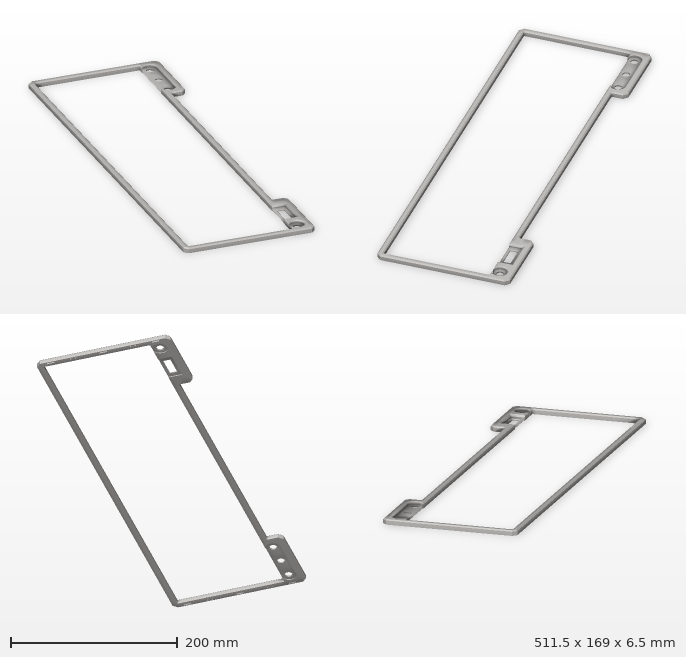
import cadquery as cq

LENGTH = 511.5
WIDTH = 169.0
THICKNESS = 6.5
WALL = 7.0
CORNER_CUT = 5.0
EDGE_BEVEL = 1.5
OPENING_CORNER_RADIUS = 0.75
NOTCH_CORNER_RADIUS = 2.0
REAR_BAR_TOP = 65.0
TAB_INNER_X = 163.0

POCKET_FLOOR_Z = 2.8
RELIEF_DEPTH = 1.0

HOLE_DIAMETER = 9.0
HOLE_Y = 67.0
HOLE_PITCH = 28.5
SEAT_DIAMETER = 21.0
SEAT_BEVEL = 1.25

SOCKET_X = 199.5
SOCKET_LENGTH = 43.0
SOCKET_BEVEL = 2.5
WINDOW_Y = 66.5
WINDOW_LENGTH = 25.5
WINDOW_WIDTH = 9.0
WINDOW_BEVEL = 1.0

RECESS_DEPTH = 2.5
RECESS_INSET = 2.3
SLOT_LENGTH = 9.0
SLOT_SPACING = 66.5
PIN_DIAMETER = 2.0
SLOT_WIDTH = PIN_DIAMETER
PIN_PAIR_Y = 38.0
PIN_PAIR_GAP = 6.0

HALF_LENGTH = LENGTH / 2
SEAT_RADIUS = SEAT_DIAMETER / 2
HALF_WIDTH = WIDTH / 2
OPENING_LENGTH = LENGTH - 2 * WALL
OPENING_FRONT = WALL - HALF_WIDTH
OPENING_REAR = REAR_BAR_TOP - WALL
OPENING_WIDTH = OPENING_REAR - OPENING_FRONT
OPENING_Y = (OPENING_REAR + OPENING_FRONT) / 2
TAB_CENTER_X = (HALF_LENGTH + TAB_INNER_X) / 2
END_HOLE_X = TAB_CENTER_X + HOLE_PITCH
POCKET_REAR = HOLE_Y + SEAT_RADIUS


def beveled_plate():
    """Solid plate with two rear tabs, cut outer corners and a beveled top edge."""
    outline = [
        (-HALF_LENGTH, -HALF_WIDTH),
        (HALF_LENGTH, -HALF_WIDTH),
        (HALF_LENGTH, HALF_WIDTH),
        (TAB_INNER_X, HALF_WIDTH),
        (TAB_INNER_X, REAR_BAR_TOP),
        (-TAB_INNER_X, REAR_BAR_TOP),
        (-TAB_INNER_X, HALF_WIDTH),
        (-HALF_LENGTH, HALF_WIDTH),
    ]
    plate = cq.Workplane("XY").polyline(outline).close().extrude(THICKNESS)
    plate = plate.edges("|Z and (<Y or >Y)").chamfer(CORNER_CUT)
    corner_reach = CORNER_CUT / 2
    notch_corners = cq.selectors.BoxSelector(
        (-TAB_INNER_X - corner_reach, REAR_BAR_TOP - corner_reach, 0),
        (TAB_INNER_X + corner_reach, REAR_BAR_TOP + corner_reach, THICKNESS),
    )
    plate = plate.edges("|Z").edges(notch_corners).fillet(NOTCH_CORNER_RADIUS)
    return plate.faces(">Z").chamfer(EDGE_BEVEL)


def block(x, y, length, width, bottom_z):
    """Rectangular cutter rising from bottom_z to above the plate."""
    return cq.Workplane("XY", origin=(x, y, bottom_z)).rect(length, width).extrude(THICKNESS)


def window_cutter(x, y, length, width, rim_z, bevel, corner_radius=0):
    """Through window whose rim at rim_z opens outward at 45 degrees."""
    window = block(x, y, length, width, 0)
    rim = block(x, y, length + 2 * bevel, width + 2 * bevel, rim_z - bevel)
    if corner_radius:
        window = window.edges("|Z").fillet(corner_radius)
        rim = rim.edges("|Z").fillet(corner_radius + bevel)
    return window.union(rim.faces("<Z").chamfer(bevel))


def frame_opening(rim_z):
    """Main opening of the frame with its rim bevel at rim_z."""
    return window_cutter(
        0, OPENING_Y, OPENING_LENGTH, OPENING_WIDTH, rim_z, EDGE_BEVEL, OPENING_CORNER_RADIUS
    )


def long_slot(plane, margin):
    """Slot around the three holes of the left tab, grown outward by margin."""
    radius = SEAT_RADIUS - SEAT_BEVEL + margin
    return plane.center(-TAB_CENTER_X, HOLE_Y).slot2D(2 * (HOLE_PITCH + radius), 2 * radius)


def seat_circle(plane, margin):
    """Circle around the single hole of the right tab, grown outward by margin."""
    return plane.center(END_HOLE_X, HOLE_Y).circle(SEAT_RADIUS - SEAT_BEVEL + margin)


def socket_rectangle(plane, margin):
    """Rectangle from the socket's rear wall into the frame opening, grown outward by margin."""
    rear = POCKET_REAR - SOCKET_BEVEL
    length = SOCKET_LENGTH - 2 * SOCKET_BEVEL
    width = rear - OPENING_REAR + 2 * SOCKET_BEVEL
    return plane.center(SOCKET_X, rear - width / 2).rect(length + 2 * margin, width + 2 * margin)


def cut_pocket(body, outline, bevel):
    """Cut an outline down to the pocket floor, with walls that flare at the top by the bevel.

    The bevel along the frame opening is repeated at the pocket floor, and the same
    outline is relieved from the underside so that a thin web remains.
    """
    walls = outline(cq.Workplane("XY"), 0).extrude(THICKNESS)
    floor_cut = walls.intersect(block(0, 0, LENGTH, WIDTH, POCKET_FLOOR_Z))
    flare_plane = cq.Workplane("XY", origin=(0, 0, THICKNESS - bevel))
    flare = outline(flare_plane, bevel).extrude(THICKNESS).faces("<Z").chamfer(bevel)
    floor_edge_bevel = walls.intersect(frame_opening(POCKET_FLOOR_Z))
    relief = outline(cq.Workplane("XY"), 0).extrude(RELIEF_DEPTH)
    return body.cut(floor_cut).cut(flare).cut(floor_edge_bevel).cut(relief)


def screw_holes():
    """Three through holes in the left tab and one in the right tab."""
    positions = [(-TAB_CENTER_X + step * HOLE_PITCH, HOLE_Y) for step in (-1, 0, 1)]
    positions.append((END_HOLE_X, HOLE_Y))
    return cq.Workplane("XY").pushPoints(positions).circle(HOLE_DIAMETER / 2).extrude(THICKNESS)


def side_wall_recesses():
    """Slots and pairs of pin holes in the underside, alternating along both side walls."""
    wall_x = HALF_LENGTH - RECESS_INSET
    slots = []
    pins = []
    for x in (-wall_x, wall_x):
        slots += [(x, y) for y in (-SLOT_SPACING, 0, SLOT_SPACING)]
        for pair_y in (-PIN_PAIR_Y, PIN_PAIR_Y):
            pins += [(x, pair_y + side * PIN_PAIR_GAP / 2) for side in (-1, 1)]
    underside = cq.Workplane("XY")
    slot_cutter = underside.pushPoints(slots).rect(SLOT_WIDTH, SLOT_LENGTH).extrude(RECESS_DEPTH)
    pin_cutter = underside.pushPoints(pins).circle(PIN_DIAMETER / 2).extrude(RECESS_DEPTH)
    return slot_cutter.union(pin_cutter)


frame = beveled_plate().cut(frame_opening(THICKNESS))

frame = cut_pocket(frame, long_slot, SEAT_BEVEL)
frame = cut_pocket(frame, seat_circle, SEAT_BEVEL)
frame = cut_pocket(frame, socket_rectangle, SOCKET_BEVEL)

socket_window = window_cutter(
    SOCKET_X, WINDOW_Y, WINDOW_LENGTH, WINDOW_WIDTH, POCKET_FLOOR_Z, WINDOW_BEVEL
)
result = frame.cut(socket_window).cut(screw_holes()).cut(side_wall_recesses())